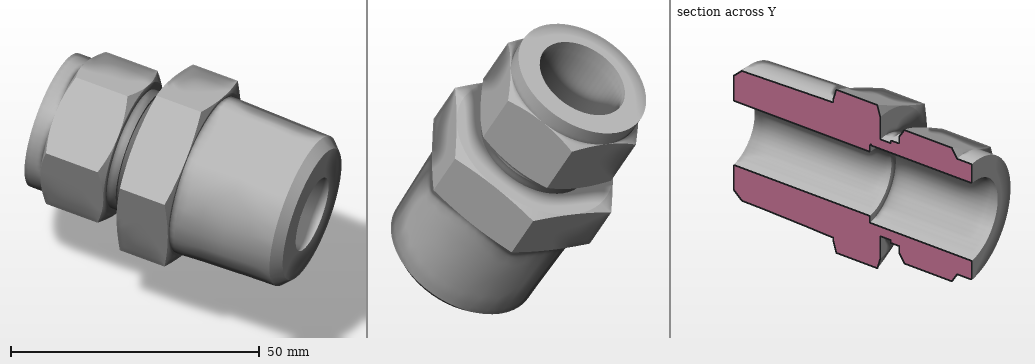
import cadquery as cq
import math


collar_end = 3.5
nut_end = 17.5
ring_end = 19.5
neck_end = 21.9
body_hex_end = 33.27
taper_start = 34.5
total_length = 57.15

nut_across_flats = 28.575
nut_chamfer_angle = 30.0
body_across_flats = 34.925
body_chamfer_angle = 15.0

collar_diameter = nut_across_flats
ring_diameter = 25.4
neck_diameter = 24.0
pipe_diameter = 33.4
pipe_taper = 1 / 16
pipe_chamfer = 2.0

tube_bore_diameter = 19.05
tube_bore_depth = 24.4
through_bore_diameter = 15.7


def revolve_about_axis(points):
    """Solid of revolution about X from an (x, radius) profile."""
    return cq.Workplane("XZ").polyline(points).close().revolve(360, (0, 0, 0), (1, 0, 0))


def cylinder(start, end, diameter):
    """Solid cylinder on the X axis between two stations."""
    radius = diameter / 2
    return revolve_about_axis([(start, 0), (start, radius), (end, radius), (end, 0)])


def chamfered_hexagon(start, end, across_flats, chamfer_angle):
    """Hexagonal prism with the corners of both ends turned down to a cone."""
    flat_radius = across_flats / 2
    corner_radius = flat_radius / math.cos(math.radians(30))
    chamfer_length = (corner_radius - flat_radius) * math.tan(math.radians(chamfer_angle))
    prism = (
        cq.Workplane("YZ", origin=(start, 0, 0))
        .transformed(rotate=(0, 0, 90))
        .polygon(6, 2 * corner_radius)
        .extrude(end - start)
    )
    envelope = revolve_about_axis([
        (start, 0),
        (start, flat_radius),
        (start + chamfer_length, corner_radius),
        (end - chamfer_length, corner_radius),
        (end, flat_radius),
        (end, 0),
    ])
    return prism.intersect(envelope)


def pipe_end():
    """Short straight shoulder, tapered pipe section and chamfered end."""
    pipe_radius = pipe_diameter / 2
    chamfer_start = total_length - pipe_chamfer
    small_radius = pipe_radius - (chamfer_start - taper_start) * pipe_taper / 2
    return revolve_about_axis([
        (body_hex_end, 0),
        (body_hex_end, pipe_radius),
        (taper_start, pipe_radius),
        (chamfer_start, small_radius),
        (total_length, small_radius - pipe_chamfer),
        (total_length, 0),
    ])


collar = cylinder(0, collar_end, collar_diameter)
nut = chamfered_hexagon(collar_end, nut_end, nut_across_flats, nut_chamfer_angle)
ring = cylinder(nut_end, ring_end, ring_diameter)
neck = cylinder(ring_end, neck_end, neck_diameter)
body_hex = chamfered_hexagon(neck_end, body_hex_end, body_across_flats, body_chamfer_angle)
tube_bore = cylinder(0, tube_bore_depth, tube_bore_diameter)
through_bore = cylinder(0, total_length, through_bore_diameter)

outside = collar.union(nut).union(ring).union(neck).union(body_hex).union(pipe_end())
result = outside.cut(tube_bore).cut(through_bore)